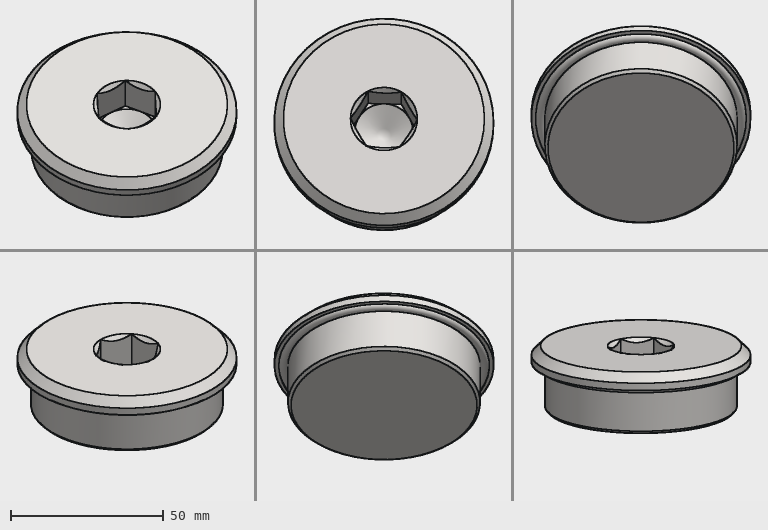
import cadquery as cq
import math

head_radius = 36.0
head_thickness = 5.5
head_chamfer = 3.0
total_height = 21.5
shank_radius = 31.5
shank_chamfer = 1.0

ring_section_radius = 1.5
ring_centre_radius = shank_radius + ring_section_radius

socket_across_flats = 19.0
socket_depth = 12.0
drill_point_angle = 120.0
socket_corner_radius = socket_across_flats / math.sqrt(3)


def make_turned_blank():
    """Head and shank, with a half-round ring groove under the head."""
    return (
        cq.Workplane("XZ")
        .lineTo(head_radius - head_chamfer, 0)
        .lineTo(head_radius, -head_chamfer)
        .lineTo(head_radius, -head_thickness)
        .lineTo(ring_centre_radius + ring_section_radius, -head_thickness)
        .threePointArc(
            (ring_centre_radius, -head_thickness + ring_section_radius),
            (shank_radius, -head_thickness),
        )
        .lineTo(shank_radius, -total_height + shank_chamfer)
        .lineTo(shank_radius - shank_chamfer, -total_height)
        .lineTo(0, -total_height)
        .close()
        .revolve(360, (0, 0, 0), (0, 1, 0))
    )


def make_cone(radius, depth, top_z):
    """Cone with its base at top_z and its tip pointing down."""
    return cq.Workplane(cq.Solid.makeCone(radius, 0, depth, cq.Vector(0, 0, top_z), cq.Vector(0, 0, -1)))


def make_plug():
    corner_diameter = 2 * socket_corner_radius
    hexagon = (
        cq.Workplane("XY")
        .transformed(rotate=(0, 0, 90))
        .polygon(6, corner_diameter)
        .extrude(-socket_depth)
    )
    countersink = make_cone(socket_corner_radius, socket_corner_radius, 0)
    drill_radius = socket_across_flats / 2
    drill_point_depth = drill_radius / math.tan(math.radians(drill_point_angle / 2))
    drill_point = make_cone(drill_radius, drill_point_depth, -socket_depth)
    return make_turned_blank().cut(hexagon).cut(countersink).cut(drill_point)


def make_sealing_ring():
    return (
        cq.Workplane("XZ")
        .center(ring_centre_radius, -head_thickness)
        .circle(ring_section_radius)
        .revolve(360, (-ring_centre_radius, 0, 0), (-ring_centre_radius, 1, 0))
    )


plug = make_plug()
sealing_ring = make_sealing_ring()
result = cq.Compound.makeCompound([plug.solids().val(), sealing_ring.val()])